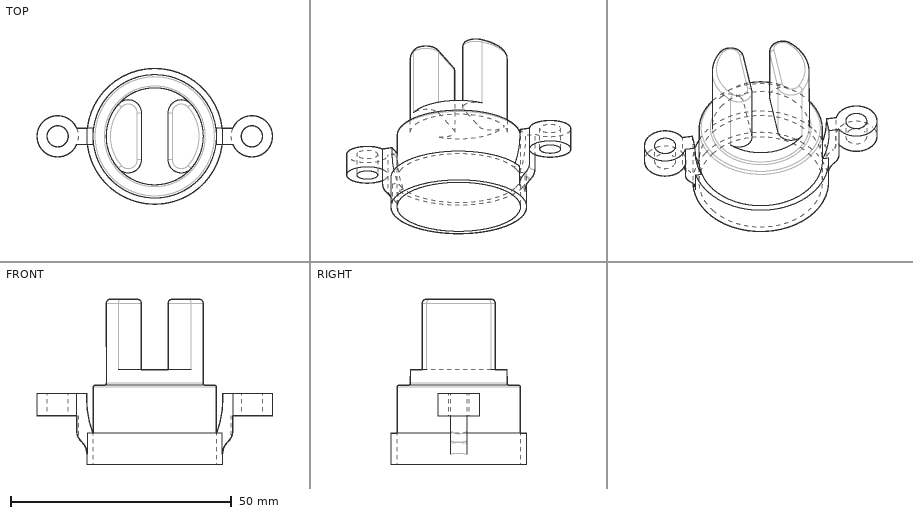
import cadquery as cq
import math

BODY_DIAMETER = 28.0
BODY_TOP = 18.0
BODY_EDGE_RADIUS = 0.5
COLLAR_DIAMETER = 22.0
COLLAR_TOP = 21.5
COLLAR_ROOT_RADIUS = 0.45
PRONG_TOP = 37.5
PRONG_GAP = 6.05
PRONG_CORNER_RADIUS = 3.0
PRONG_EDGE_RADIUS = 0.95

RING_DIAMETER = 30.8
RING_HEIGHT = 7.1
OVERALL_LENGTH = 53.4
EAR_DIAMETER = 9.4
EAR_HOLE_DIAMETER = 4.75
EAR_BOTTOM = 11.05
EAR_TOP = 16.15
ARM_WIDTH = 3.75
ARM_SLOPE_BOTTOM = 3.95
ARM_SLOPE_TOP = 6.25
ARM_OUTER_BEND_RADIUS = 2.65
ARM_FOOT_RADIUS = 3.45
ARM_INNER_BEND_Z = 14.9

body_radius = BODY_DIAMETER / 2
ring_radius = RING_DIAMETER / 2
ear_x = (OVERALL_LENGTH - EAR_DIAMETER) / 2
arm_outer_x = ear_x - math.sqrt((EAR_DIAMETER / 2) ** 2 - (ARM_WIDTH / 2) ** 2)
EDGE_SEARCH_REACH = 0.55
SIDES = (-1, 1)


def make_prong(side):
    """One segment-shaped prong: flat inside, round outside, soft corners and top edge."""
    height = PRONG_TOP - COLLAR_TOP
    outer_side = (
        cq.Workplane("XY", origin=(side * (PRONG_GAP + COLLAR_DIAMETER) / 2, 0, COLLAR_TOP))
        .rect(COLLAR_DIAMETER, COLLAR_DIAMETER)
        .extrude(height)
    )
    return (
        cq.Workplane("XY", origin=(0, 0, COLLAR_TOP))
        .circle(COLLAR_DIAMETER / 2)
        .extrude(height)
        .intersect(outer_side)
        .edges("|Z")
        .fillet(PRONG_CORNER_RADIUS)
        .faces(">Z")
        .edges()
        .fillet(PRONG_EDGE_RADIUS)
    )


def make_housing():
    """Round body, collar with a concave root, and the two prongs."""
    collar_radius = COLLAR_DIAMETER / 2
    stepped_body = (
        cq.Workplane("XZ")
        .lineTo(body_radius, 0)
        .lineTo(body_radius, BODY_TOP - BODY_EDGE_RADIUS)
        .radiusArc((body_radius - BODY_EDGE_RADIUS, BODY_TOP), -BODY_EDGE_RADIUS)
        .lineTo(collar_radius + COLLAR_ROOT_RADIUS, BODY_TOP)
        .radiusArc((collar_radius, BODY_TOP + COLLAR_ROOT_RADIUS), COLLAR_ROOT_RADIUS)
        .lineTo(collar_radius, COLLAR_TOP)
        .lineTo(0, COLLAR_TOP)
        .close()
        .revolve(360, (0, 0, 0), (0, 1, 0))
    )
    for side in SIDES:
        stepped_body = stepped_body.union(make_prong(side))
    return stepped_body


def edge_zone(x, z):
    """Selector for the edge across the arm whose middle lies close to (x, 0, z)."""
    reach = EDGE_SEARCH_REACH
    return cq.selectors.BoxSelector((x - reach, -reach, z - reach), (x + reach, reach, z + reach))


def make_arm():
    """Arm on the +X side: rises from the ring in an S-bend and ends in a drilled ear."""
    slope = (ARM_SLOPE_TOP - ARM_SLOPE_BOTTOM) / (arm_outer_x - ring_radius)
    root_z = ARM_SLOPE_BOTTOM - slope * (ring_radius - body_radius)
    inner_drop = ARM_INNER_BEND_Z - RING_HEIGHT
    inner_shift = ring_radius - body_radius
    inner_radius = (inner_shift**2 + inner_drop**2) / (2 * inner_shift)
    upright = (
        cq.Workplane("XZ", origin=(0, ARM_WIDTH / 2, 0))
        .moveTo(body_radius, root_z)
        .lineTo(arm_outer_x, ARM_SLOPE_TOP)
        .lineTo(arm_outer_x, EAR_TOP)
        .lineTo(ring_radius, EAR_TOP)
        .lineTo(ring_radius, ARM_INNER_BEND_Z)
        .radiusArc((body_radius, RING_HEIGHT), inner_radius)
        .close()
        .extrude(ARM_WIDTH)
    )
    thickness = EAR_TOP - EAR_BOTTOM
    ear_plane = cq.Workplane("XY", origin=(ear_x, 0, EAR_BOTTOM))
    neck_length = ear_x - ring_radius
    neck = ear_plane.center(-neck_length / 2, 0).rect(neck_length, ARM_WIDTH).extrude(thickness)
    ear = ear_plane.circle(EAR_DIAMETER / 2).extrude(thickness)
    ear_hole = ear_plane.circle(EAR_HOLE_DIAMETER / 2).extrude(thickness)
    hollow = cq.Workplane("XY", origin=(ear_x, 0, 0)).circle(EAR_DIAMETER / 2).extrude(EAR_BOTTOM)
    upright = (
        upright.cut(hollow)
        .edges(edge_zone(arm_outer_x, ARM_SLOPE_TOP))
        .fillet(ARM_OUTER_BEND_RADIUS)
    )
    return upright.union(neck).union(ear).cut(ear_hole)


def make_mounting_ring():
    """Band with two opposite arms, bored to take the housing."""
    ring = cq.Workplane("XY").circle(ring_radius).extrude(RING_HEIGHT).rotate((0, 0, 0), (0, 0, 1), 90)
    arm = make_arm()
    for turn in (0, 180):
        ring = ring.union(arm.rotate((0, 0, 0), (0, 0, 1), turn))
    for side in SIDES:
        ring = ring.edges(edge_zone(side * ring_radius, ARM_SLOPE_BOTTOM)).fillet(ARM_FOOT_RADIUS)
    bore = cq.Workplane("XY").circle(body_radius).extrude(EAR_TOP)
    return ring.cut(bore)


housing = make_housing()
mounting_ring = make_mounting_ring()
result = cq.Compound.makeCompound([housing.val(), mounting_ring.val()])